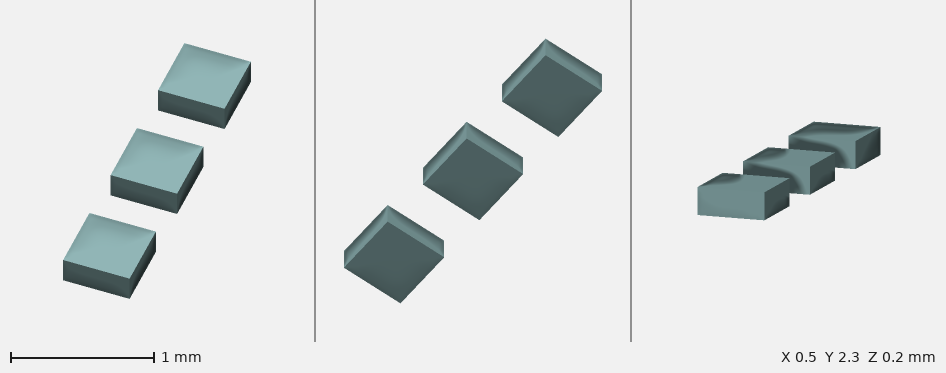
import cadquery as cq

row_length = 2.3
pad_side = 0.5
pad_height = 0.2
pad_count = 3

pad_pitch = (row_length - pad_side) / (pad_count - 1)


def make_pad(y_center):
    """Square flat pad standing on Z = 0, centred on the given Y position."""
    return (
        cq.Workplane("XY")
        .center(0, y_center)
        .rect(pad_side, pad_side)
        .extrude(pad_height)
    )


pads = []
for index in range(pad_count):
    y_center = (index - (pad_count - 1) / 2) * pad_pitch
    pads.append(make_pad(y_center).val())

result = cq.Compound.makeCompound([*pads])